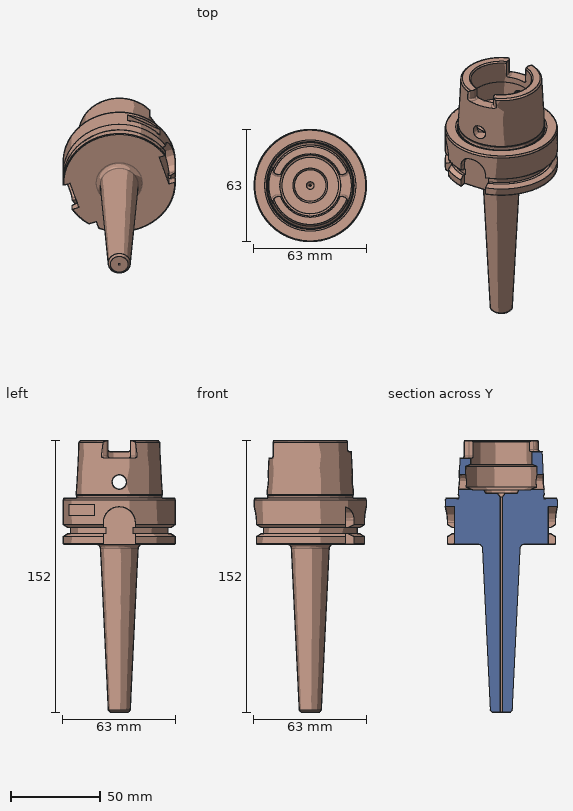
import cadquery as cq
import math

total_length = 152.0
top_z = 32.0
flange_bottom_z = -26.0
tip_z = top_z - total_length

taper_ratio = 1 / 20
taper_base_radius = 24.3
taper_top_radius = taper_base_radius - top_z * taper_ratio
rim_outer_bevel = 0.9
relief_height = 2.0
relief_radius = 23.9
relief_bevel_bottom = 1.4
relief_neck_bottom = 0.6
face_groove_depth = 0.5
face_groove_inner_radius = 24.2
face_groove_floor_radius = 24.6
face_groove_outer_radius = 25.5
flange_radius = 31.5
flange_edge_height = 1.2
flange_edge_bevel = 0.5
groove_middle_z = -18.2
groove_floor_width = 3.3
groove_mouth_width = 6.7
groove_step_radius = 28.9
groove_radius = 27.4
shank_top_radius = 10.6
shank_tip_radius = 6.2
shank_root_fillet = 2.3
tip_bevel = 1.2

bore_radius = 17.0
bore_mouth_bevel = 0.8
bore_straight_depth = 13.2
chamber_radius = 19.9
chamber_depth = 26.0
chamber_shoulder = 1.2
bore_floor_radius = 15.8
bore_floor_z = 4.5
pocket_radius = 9.7
pocket_floor_radius = 8.8
pocket_depth = 1.8
coolant_radius = 2.1
coolant_depth = 2.3
through_hole_radius = 0.5

rim_slot_half_width = 6.2
rim_slot_depth_minus_x = 9.7
rim_slot_depth_plus_x = 6.1
rim_slot_flare_start = 18.1
rim_slot_flare_radius = 2.7
rim_slot_floor_fillet = 1.0

cross_hole_radius = 4.0
cross_hole_z = 9.0

wide_slot_radius = 9.0
narrow_slot_radius = 8.0
slot_floor = 26.3
slot_top_z = -4.9
notch_floor = 19.8
notch_wall = 19.8
notch_tangent_z = -12.3
slot_overrun = 1.5
flat_distance = 29.8
flat_height = 6.1
flat_middle_z = -6.7
flat_direction = 135


def turned_body():
    """Taper, flange with V groove, and slim conical shank."""
    relief_top_radius = taper_base_radius - relief_height * taper_ratio
    mouth = groove_mouth_width / 2
    floor = groove_floor_width / 2
    profile = (
        cq.Workplane("XZ")
        .moveTo(0, top_z)
        .lineTo(taper_top_radius - rim_outer_bevel, top_z)
        .lineTo(taper_top_radius, top_z - rim_outer_bevel)
        .lineTo(relief_top_radius, relief_height)
        .lineTo(relief_radius, relief_bevel_bottom)
        .lineTo(relief_radius, relief_neck_bottom)
        .lineTo(face_groove_inner_radius, -face_groove_depth)
        .lineTo(face_groove_floor_radius, -face_groove_depth)
        .lineTo(face_groove_outer_radius, 0)
        .lineTo(flange_radius - flange_edge_bevel, 0)
        .lineTo(flange_radius, -flange_edge_height)
        .lineTo(flange_radius, groove_middle_z + mouth)
        .lineTo(groove_step_radius, groove_middle_z + floor)
        .lineTo(groove_radius, groove_middle_z + floor)
        .lineTo(groove_radius, groove_middle_z - floor)
        .lineTo(groove_step_radius, groove_middle_z - floor)
        .lineTo(flange_radius, groove_middle_z - mouth)
        .lineTo(flange_radius, flange_bottom_z + flange_edge_bevel)
        .lineTo(flange_radius - flange_edge_bevel, flange_bottom_z)
        .lineTo(shank_top_radius + shank_root_fillet, flange_bottom_z)
        .radiusArc((shank_top_radius, flange_bottom_z - shank_root_fillet), -shank_root_fillet)
        .lineTo(shank_tip_radius, tip_z + tip_bevel)
        .lineTo(shank_tip_radius - tip_bevel, tip_z)
        .lineTo(0, tip_z)
        .close()
    )
    return profile.revolve(360, (0, 0, 0), (0, 1, 0))


def bore():
    """Bore widening into a chamber, then a pocket and a fine through hole."""
    chamber_top_z = top_z - bore_straight_depth
    pocket_z = bore_floor_z - pocket_depth
    coolant_z = pocket_z - coolant_depth
    profile = (
        cq.Workplane("XZ")
        .moveTo(0, top_z)
        .lineTo(bore_radius + bore_mouth_bevel, top_z)
        .lineTo(bore_radius, top_z - bore_mouth_bevel)
        .lineTo(bore_radius, chamber_top_z)
        .lineTo(chamber_radius, chamber_top_z - chamber_shoulder)
        .lineTo(chamber_radius, top_z - chamber_depth)
        .lineTo(bore_floor_radius, bore_floor_z)
        .lineTo(pocket_radius, bore_floor_z)
        .lineTo(pocket_floor_radius, pocket_z)
        .lineTo(coolant_radius, pocket_z)
        .lineTo(through_hole_radius, coolant_z)
        .lineTo(through_hole_radius, tip_z)
        .lineTo(0, tip_z)
        .close()
    )
    return profile.revolve(360, (0, 0, 0), (0, 1, 0))


def rim_slot(depth):
    """Driving slot on the +X side whose mouth flares outward with rounded corners."""
    flare_x = rim_slot_flare_start + rim_slot_flare_radius
    flare_y = rim_slot_half_width + rim_slot_flare_radius
    outer_x = flange_radius
    outer_y = flange_radius / 2
    plan = (
        cq.Workplane("XY", origin=(0, 0, top_z - depth))
        .moveTo(0, -rim_slot_half_width)
        .lineTo(rim_slot_flare_start, -rim_slot_half_width)
        .radiusArc((flare_x, -flare_y), rim_slot_flare_radius)
        .lineTo(flare_x, -outer_y)
        .lineTo(outer_x, -outer_y)
        .lineTo(outer_x, outer_y)
        .lineTo(flare_x, outer_y)
        .lineTo(flare_x, flare_y)
        .radiusArc((rim_slot_flare_start, rim_slot_half_width), rim_slot_flare_radius)
        .lineTo(0, rim_slot_half_width)
        .close()
    )
    return plan.extrude(2 * depth).faces("<Z").edges().fillet(rim_slot_floor_fillet)


def arched_slot(radius, floor_x, centre_y, centre_z):
    """Slot open toward +X and downward, with a half-round top."""
    bottom_z = flange_bottom_z - slot_overrun
    return (
        cq.Workplane("YZ", origin=(floor_x, centre_y, 0))
        .moveTo(-radius, bottom_z)
        .lineTo(-radius, centre_z)
        .threePointArc((0, centre_z + radius), (radius, centre_z))
        .lineTo(radius, bottom_z)
        .close()
        .extrude(flange_radius)
    )


def half_turn(shape):
    """The same shape on the opposite side of the axis."""
    return shape.rotate((0, 0, 0), (0, 0, 1), 180)


def flange_flat():
    """Short flat across the rim of the flange."""
    depth = flange_radius - flat_distance
    return (
        cq.Workplane("XY")
        .box(2 * depth, flange_radius, flat_height)
        .translate((flat_distance + depth, 0, flat_middle_z))
        .rotate((0, 0, 0), (0, 0, 1), flat_direction)
    )


cross_hole = (
    cq.Workplane("YZ", origin=(-flange_radius, 0, 0))
    .center(0, cross_hole_z)
    .circle(cross_hole_radius)
    .extrude(2 * flange_radius)
)
wide_slot = arched_slot(wide_slot_radius, slot_floor, 0, slot_top_z - wide_slot_radius)
narrow_slot = arched_slot(narrow_slot_radius, slot_floor, 0, slot_top_z - narrow_slot_radius)
corner_notch = arched_slot(
    narrow_slot_radius, notch_floor, -notch_wall - narrow_slot_radius, notch_tangent_z
)

result = (
    turned_body()
    .cut(bore())
    .cut(rim_slot(rim_slot_depth_plus_x))
    .cut(half_turn(rim_slot(rim_slot_depth_minus_x)))
    .cut(cross_hole)
    .cut(half_turn(wide_slot))
    .cut(narrow_slot)
    .cut(corner_notch)
    .cut(flange_flat())
)